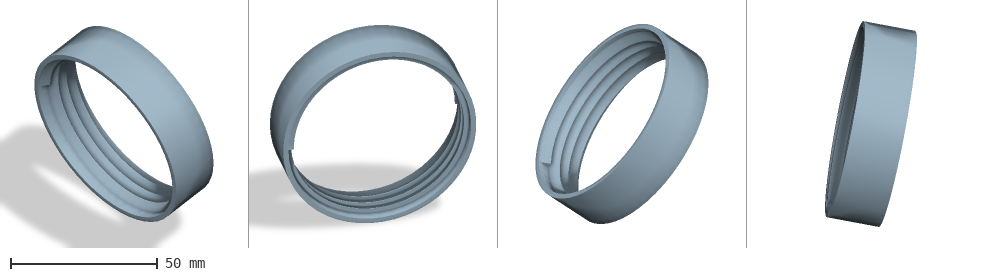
import cadquery as cq

outer_diameter = 68.0
bore_diameter = 64.3
sleeve_length = 18.0

root_diameter = 64.2
crest_diameter = 60.45
pitch = 4.0
turns = 3.5
flank_width = 3.0
crest_width = 0.2
rear_margin = 0.2

root_radius = root_diameter / 2
crest_radius = crest_diameter / 2
thread_travel = pitch * turns
thread_width = flank_width + crest_width
helix_start = sleeve_length / 2 - rear_margin - thread_width / 2 - thread_travel


def make_sleeve():
    """Tube with its axis along Y."""
    return (
        cq.Workplane("XZ")
        .circle(outer_diameter / 2)
        .circle(bore_diameter / 2)
        .extrude(sleeve_length)
        .translate((0, sleeve_length / 2, 0))
    )


def make_thread():
    """Sawtooth rib swept along a helix, starting at -X and ending at +X."""
    profile = (
        cq.Workplane("XZ")
        .moveTo(root_radius, -thread_width / 2)
        .lineTo(crest_radius, thread_width / 2 - crest_width)
        .lineTo(crest_radius, thread_width / 2)
        .lineTo(root_radius, thread_width / 2)
        .close()
    )
    helix = cq.Wire.makeHelix(pitch, thread_travel, root_radius)
    rib = profile.sweep(cq.Workplane(obj=helix), isFrenet=True)
    return (
        rib.rotate((0, 0, 0), (0, 0, 1), 180)
        .rotate((0, 0, 0), (1, 0, 0), -90)
        .translate((0, helix_start, 0))
    )


sleeve = make_sleeve()
thread = make_thread()

result = cq.Compound.makeCompound([sleeve.val(), thread.val()])